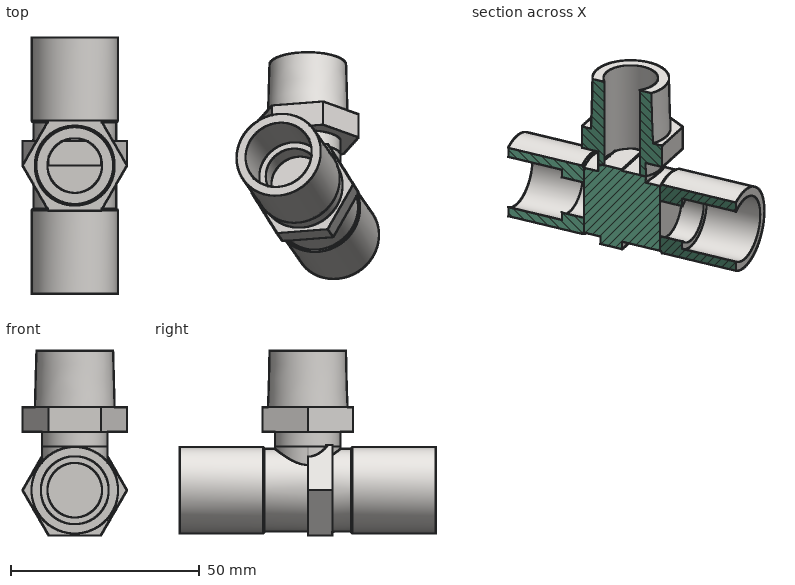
import cadquery as cq
import math

overall_length = 68.0
overall_height = 49.0
hex_across_corners = 27.75
hex_across_flats = hex_across_corners * math.cos(math.pi / 6)
hex_thickness = 6.5

run_diameter = 22.0
branch_diameter = 17.5
run_reach = 11.4
branch_reach = 11.6

sleeve_diameter = 23.0
sleeve_length = overall_length / 2 - run_reach
sleeve_chamfer = (sleeve_diameter - run_diameter) / 2
socket_diameter = 18.0
socket_depth = 16.0

bore_diameter = 14.5
stud_hex_bottom = 15.5
stud_hex_top = stud_hex_bottom + hex_thickness
stud_top = overall_height - hex_across_flats / 2
thread_root_diameter = 21.2
thread_tip_diameter = 20.4


def tee_hexagon():
    """Hexagon around the run, with flats facing up and down."""
    return (
        cq.Workplane("XZ")
        .polygon(6, hex_across_corners)
        .extrude(-hex_thickness)
    )


def make_tee():
    run = cq.Workplane("XZ").circle(run_diameter / 2).extrude(run_reach, both=True)
    branch = cq.Workplane("XY").circle(branch_diameter / 2).extrude(branch_reach)
    return run.union(branch).union(tee_hexagon())


def make_sleeve(side):
    """Stepped tube at one end of the run; side is -1 for -Y and +1 for +Y."""
    inner_plane = cq.Plane(origin=(0, side * run_reach, 0), xDir=(1, 0, 0), normal=(0, side, 0))
    tube = (
        cq.Workplane(inner_plane)
        .circle(sleeve_diameter / 2)
        .extrude(sleeve_length)
        .faces("<Y" if side > 0 else ">Y")
        .chamfer(sleeve_chamfer)
    )
    bore = cq.Workplane(inner_plane).circle(bore_diameter / 2).extrude(sleeve_length)
    socket = (
        cq.Workplane(inner_plane)
        .workplane(offset=sleeve_length - socket_depth)
        .circle(socket_diameter / 2)
        .extrude(socket_depth)
    )
    return tube.cut(bore).cut(socket)


def make_stud():
    """Bored stud: neck, hexagon and tapered thread, notched over the tee's hexagon."""
    neck = (
        cq.Workplane("XY")
        .workplane(offset=branch_reach)
        .circle(branch_diameter / 2)
        .extrude(stud_hex_bottom - branch_reach)
    )
    hexagon = (
        cq.Workplane("XY")
        .workplane(offset=stud_hex_bottom)
        .polygon(6, hex_across_corners)
        .extrude(hex_thickness)
    )
    thread = (
        cq.Workplane("XY")
        .workplane(offset=stud_hex_top)
        .circle(thread_root_diameter / 2)
        .workplane(offset=stud_top - stud_hex_top)
        .circle(thread_tip_diameter / 2)
        .loft()
    )
    bore = (
        cq.Workplane("XY")
        .workplane(offset=branch_reach)
        .circle(bore_diameter / 2)
        .extrude(stud_top - branch_reach)
    )
    return neck.union(hexagon).union(thread).cut(bore).cut(tee_hexagon())


tee = make_tee()
stud = make_stud()
sleeves = [make_sleeve(side).solids().val() for side in (-1, 1)]

result = cq.Compound.makeCompound([tee.solids().val(), stud.solids().val(), *sleeves])